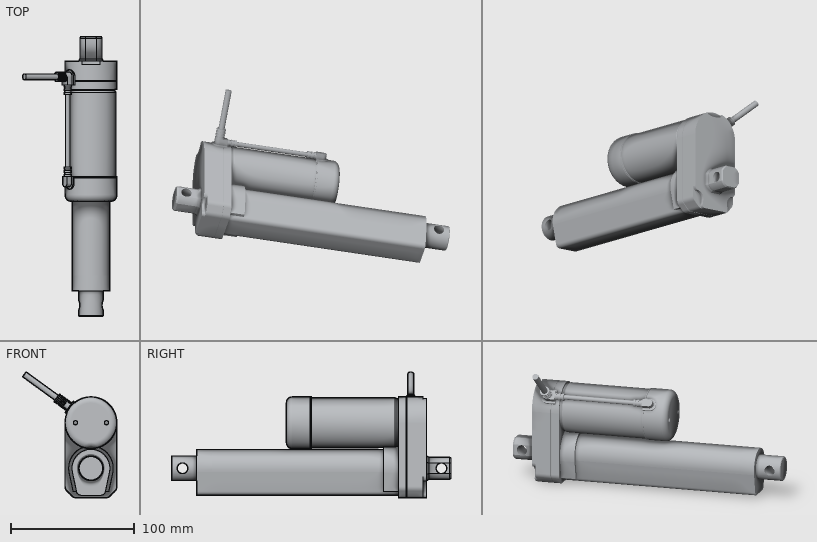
import cadquery as cq
import math


gearbox_radius = 21.0
gearbox_rear_y = 19.9
plate_rear_y = 22.7
gearbox_bottom_z = -24.0
corner_cut = 7.0
corner_blend = 5.0
parting_front_y = 6.3
parting_rear_y = 6.9
parting_depth = 0.3
notch_half_width = 7.4
notch_depth_at_edge = 1.5
notch_sag = 1.6

motor_z = 36.8
motor_radius = 20.25
neck_radius = 19.4
neck_front_y = -1.2
motor_shoulder_y = -2.6
motor_cap_y = -70.3
motor_cap_lip = 0.6
motor_cap_groove = 0.6
motor_cap_groove_depth = 0.4
motor_front_y = -90.6
motor_cap_radius = gearbox_radius
motor_cap_blend = 5.0
cap_hole_diameter = 3.4
cap_hole_offset = 12.5
cap_hole_depth = 2.0

tube_radius = 15.3
tube_bottom_z = -21.8
tube_front_y = -162.9
tube_end_cap_y = -150.5
tube_corner_blend = 3.5
collar_radius = 18.0
collar_bottom_z = -18.9
collar_front_y = -12.2
flank_angle = math.radians(12.0)
rod_radius = 10.0
rod_tip_y = -183.4
rod_tip_chamfer = 0.5
pin_hole_diameter = 8.4
rod_hole_y = -174.4

clevis_rear_y = 42.6
clevis_radius = 10.0
clevis_across_flats = 18.0
clevis_chamfer_length = 1.5
clevis_chamfer_depth = 0.7
clevis_flare = 1.1
clevis_flare_length = 1.9
clevis_hole_y = 34.75

cable_angle = math.radians(36.0)
cable_diameter = 5.0
cable_end_radius = 66.48
fitting_root_radius = 18.0
elbow_top_radius = 26.2
pad_top_radius = 21.7
rear_fitting_y = 10.0
rear_fitting_front_y = 3.4
rear_elbow_half_width = 3.9
rear_pad_half_width = 5.8
front_fitting_y = -75.8
front_elbow_half_width = 3.0
front_pad_half_width = 5.0
cable_boot_top_radius = 34.2
wire_diameter = 3.8
wire_boot_radius = 3.0
wire_boot_length = 7.5
boot_groove_depth = 0.5
cable_boot_grooves = 3
wire_boot_grooves = 2

margin = 1.0

cable_direction = cq.Vector(-math.cos(cable_angle), 0, math.sin(cable_angle))
motor_axis_point = cq.Vector(0, 0, motor_z)


def section(y):
    """Workplane across the actuator at y; local axes are X and Z, extrusion runs toward -Y."""
    return cq.Workplane("XZ", origin=(0, y, 0))


def gearbox_slice(y_rear, y_front, inset=0.0):
    """Round-topped housing outline with blended bottom corners, drawn in by inset."""
    half = gearbox_radius - inset
    bottom = gearbox_bottom_z + inset
    outline = (
        section(y_rear)
        .moveTo(-half, motor_z)
        .threePointArc((0, motor_z + half), (half, motor_z))
        .lineTo(half, bottom + corner_cut)
        .lineTo(half - corner_cut, bottom)
        .lineTo(corner_cut - half, bottom)
        .lineTo(-half, bottom + corner_cut)
        .close()
    )
    corners = cq.selectors.BoxSelector(
        (-half - margin, y_front - margin, bottom - margin),
        (half + margin, y_rear + margin, bottom + corner_cut + margin),
    )
    return outline.extrude(y_rear - y_front).edges("|Y").edges(corners).fillet(corner_blend)


def gearbox():
    rear = gearbox_slice(gearbox_rear_y, parting_rear_y)
    parting = gearbox_slice(parting_rear_y, parting_front_y, parting_depth)
    front = gearbox_slice(parting_front_y, 0)
    return rear.union(parting).union(front)


def side_scoop():
    """Cutter that narrows the lower rear plate on its +X side."""
    outside_x = gearbox_radius + margin
    below_z = gearbox_bottom_z - margin
    shoulder_top = (gearbox_radius, -6.9)
    shoulder_mid = (20.2, -8.8)
    shoulder_end = (18.6, -10.2)
    hollow_mid = (14.2, -12.2)
    waist = (12.5, -16.5)
    ankle = (12.7, -19.0)
    foot = (13.2, -21.3)
    toe_mid = (12.7, -23.1)
    toe = (11.0, gearbox_bottom_z)
    return (
        section(plate_rear_y)
        .moveTo(outside_x, shoulder_top[1])
        .lineTo(*shoulder_top)
        .threePointArc(shoulder_mid, shoulder_end)
        .threePointArc(hollow_mid, waist)
        .lineTo(*ankle)
        .lineTo(*foot)
        .threePointArc(toe_mid, toe)
        .lineTo(toe[0], below_z)
        .lineTo(outside_x, below_z)
        .close()
        .extrude(plate_rear_y - gearbox_rear_y)
    )


def rear_plate():
    plate = gearbox_slice(plate_rear_y, gearbox_rear_y)
    scoop = side_scoop()
    plate = plate.cut(scoop).cut(scoop.mirror("YZ"))
    crown_z = motor_z + math.sqrt(gearbox_radius**2 - notch_half_width**2)
    floor_z = crown_z - notch_depth_at_edge
    above_z = motor_z + gearbox_radius + margin
    notch = (
        section(plate_rear_y)
        .moveTo(-notch_half_width, above_z)
        .lineTo(-notch_half_width, floor_z)
        .threePointArc((0, floor_z - notch_sag), (notch_half_width, floor_z))
        .lineTo(notch_half_width, above_z)
        .close()
        .extrude(plate_rear_y - gearbox_rear_y)
    )
    return plate.cut(notch)


def clevis():
    length = clevis_rear_y - plate_rear_y
    flare_end_y = plate_rear_y + clevis_flare_length
    flare_taper = math.degrees(math.atan(clevis_flare / clevis_flare_length))
    tip_radius = clevis_radius - clevis_chamfer_depth
    round_stock = (
        cq.Workplane("XY")
        .moveTo(0, plate_rear_y)
        .lineTo(clevis_radius + clevis_flare, plate_rear_y)
        .lineTo(clevis_radius, flare_end_y)
        .lineTo(clevis_radius, clevis_rear_y - clevis_chamfer_length)
        .lineTo(tip_radius, clevis_rear_y)
        .lineTo(0, clevis_rear_y)
        .close()
        .revolve(360, (0, 0, 0), (0, 1, 0))
    )
    flats = (
        section(clevis_rear_y)
        .rect(clevis_across_flats, clevis_across_flats)
        .extrude(length)
        .faces(">Y")
        .chamfer(clevis_chamfer_length, clevis_chamfer_depth)
    )
    flare = (
        section(flare_end_y)
        .rect(clevis_across_flats, clevis_across_flats)
        .extrude(clevis_flare_length, taper=-flare_taper)
    )
    return round_stock.intersect(flats.union(flare)).cut(pin_hole(clevis_hole_y))


def pin_hole(y):
    reach = 2 * clevis_radius
    return cq.Workplane("YZ").center(y, 0).circle(pin_hole_diameter / 2).extrude(reach, both=True)


def motor():
    groove_rear_y = motor_cap_y - motor_cap_lip
    groove_front_y = groove_rear_y - motor_cap_groove
    groove_radius = motor_cap_radius - motor_cap_groove_depth
    blend_start_y = motor_front_y + motor_cap_blend
    flat_radius = motor_cap_radius - motor_cap_blend
    blend_mid = motor_cap_blend * math.sqrt(0.5)
    body = (
        cq.Workplane("XY", origin=(0, 0, motor_z))
        .moveTo(0, 0)
        .lineTo(neck_radius, 0)
        .lineTo(neck_radius, neck_front_y)
        .lineTo(motor_radius, motor_shoulder_y)
        .lineTo(motor_radius, motor_cap_y)
        .lineTo(motor_cap_radius, motor_cap_y)
        .lineTo(motor_cap_radius, groove_rear_y)
        .lineTo(groove_radius, groove_rear_y)
        .lineTo(groove_radius, groove_front_y)
        .lineTo(motor_cap_radius, groove_front_y)
        .lineTo(motor_cap_radius, blend_start_y)
        .threePointArc((flat_radius + blend_mid, blend_start_y - blend_mid), (flat_radius, motor_front_y))
        .lineTo(0, motor_front_y)
        .close()
        .revolve(360, (0, 0, 0), (0, 1, 0))
    )
    for x in (-cap_hole_offset, cap_hole_offset):
        hole = (
            section(motor_front_y + cap_hole_depth)
            .center(x, motor_z)
            .circle(cap_hole_diameter / 2)
            .extrude(cap_hole_depth)
        )
        body = body.cut(hole)
    return body


def tapered_tube(radius, bottom_z, y_rear, y_front):
    """Round top with tangent flanks that lean inward down to a flat bottom."""
    tangent_x = radius * math.cos(flank_angle)
    tangent_z = -radius * math.sin(flank_angle)
    bottom_x = tangent_x - (tangent_z - bottom_z) * math.tan(flank_angle)
    return (
        section(y_rear)
        .moveTo(-tangent_x, tangent_z)
        .threePointArc((0, radius), (tangent_x, tangent_z))
        .lineTo(bottom_x, bottom_z)
        .lineTo(-bottom_x, bottom_z)
        .close()
        .extrude(y_rear - y_front)
    )


def guide_tube(y_rear, y_front):
    tube = tapered_tube(tube_radius, tube_bottom_z, y_rear, y_front)
    return tube.faces("<Z").edges("|Y").fillet(tube_corner_blend)


def push_rod():
    bar = section(tube_front_y).circle(rod_radius).extrude(tube_front_y - rod_tip_y)
    rod = bar.faces("<Y").chamfer(rod_tip_chamfer)
    return rod.cut(pin_hole(rod_hole_y))


def radial_plane(y, radius):
    """Plane facing out from the motor at the cable angle; local x is Y, local y is tangential."""
    origin = motor_axis_point + cable_direction * radius + cq.Vector(0, y, 0)
    return cq.Workplane(cq.Plane(origin=origin, xDir=(0, 1, 0), normal=cable_direction))


def rounded_block(y_center, y_front, half_width, top_radius):
    """Block on the motor surface, square at y_front and rounded about y_center at the other end."""
    tail = y_front - y_center
    bulge = -math.copysign(half_width, tail)
    return (
        radial_plane(y_center, fitting_root_radius)
        .moveTo(tail, -half_width)
        .lineTo(0, -half_width)
        .threePointArc((bulge, 0), (0, half_width))
        .lineTo(tail, half_width)
        .close()
        .extrude(top_radius - fitting_root_radius)
    )


def ribbed_boot(workplane, radius, length, grooves):
    """Strain relief of equal ribs and grooves, with a rib at each end."""
    pitch = length / (2 * grooves + 1)
    boot = workplane.circle(radius - boot_groove_depth).extrude(length)
    for index in range(grooves + 1):
        rib = workplane.workplane(offset=2 * index * pitch).circle(radius).extrude(pitch)
        boot = boot.union(rib)
    return boot


def cable_fittings():
    rear_pad = rounded_block(rear_fitting_y, rear_fitting_front_y, rear_pad_half_width, pad_top_radius)
    rear_elbow = rounded_block(
        rear_fitting_y, rear_fitting_front_y, rear_elbow_half_width, elbow_top_radius
    )
    front_pad = rounded_block(front_fitting_y, motor_cap_y, front_pad_half_width, pad_top_radius)
    front_elbow = rounded_block(front_fitting_y, motor_cap_y, front_elbow_half_width, elbow_top_radius)

    cable_boot = ribbed_boot(
        radial_plane(rear_fitting_y, elbow_top_radius),
        rear_elbow_half_width,
        cable_boot_top_radius - elbow_top_radius,
        cable_boot_grooves,
    )
    cable = (
        radial_plane(rear_fitting_y, elbow_top_radius)
        .circle(cable_diameter / 2)
        .extrude(cable_end_radius - elbow_top_radius)
    )

    wire_axis = motor_axis_point + cable_direction * (elbow_top_radius - wire_boot_radius)
    wire_rear = section(rear_fitting_front_y).center(wire_axis.x, wire_axis.z)
    wire = wire_rear.circle(wire_diameter / 2).extrude(rear_fitting_front_y - motor_cap_y)
    rear_boot = ribbed_boot(wire_rear, wire_boot_radius, wire_boot_length, wire_boot_grooves)
    front_boot_start = section(motor_cap_y + wire_boot_length).center(wire_axis.x, wire_axis.z)
    front_boot = ribbed_boot(front_boot_start, wire_boot_radius, wire_boot_length, wire_boot_grooves)
    return [
        rear_pad, rear_elbow, front_pad, front_elbow,
        cable_boot, cable, wire, rear_boot, front_boot,
    ]


result = gearbox()
for component in [
    rear_plate(),
    clevis(),
    motor(),
    tapered_tube(collar_radius, collar_bottom_z, 0, collar_front_y),
    guide_tube(0, tube_end_cap_y),
    guide_tube(tube_end_cap_y, tube_front_y),
    push_rod(),
    *cable_fittings(),
]:
    result = result.union(component, clean=False)